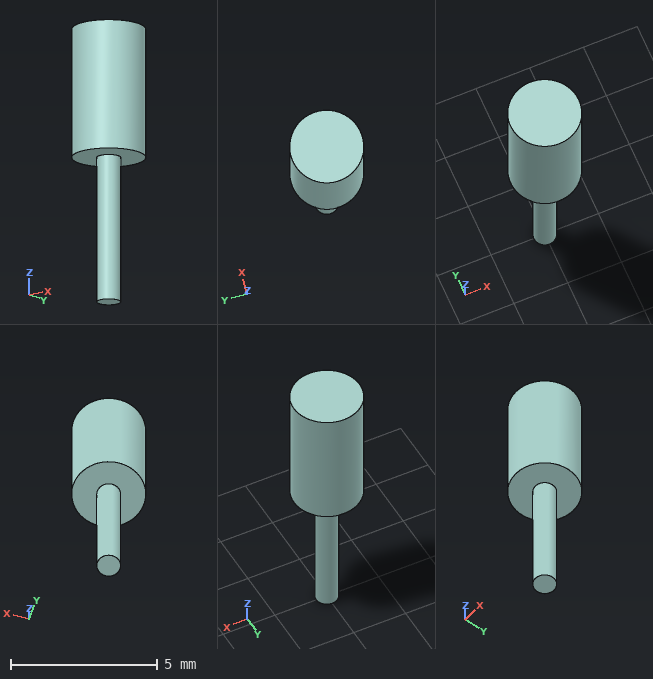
import cadquery as cq

total_height = 9.67
body_diameter = 2.54
body_height = 4.55
pin_diameter = 0.82
pin_length = total_height - body_height


def make_cylinder(diameter, height, base_z):
    """Solid cylinder on the Z axis, standing on the plane Z = base_z."""
    return cq.Workplane("XY").workplane(offset=base_z).circle(diameter / 2).extrude(height)


pin = make_cylinder(pin_diameter, pin_length, 0)

body = make_cylinder(body_diameter, body_height, pin_length)

result = cq.Compound.makeCompound([body.val(), pin.val()])